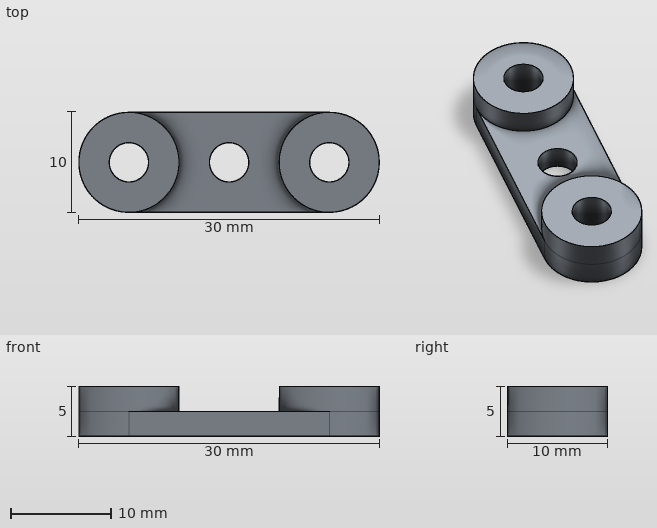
import cadquery as cq

length = 30.0
width = length / 3
height = width / 2
plate_thickness = height / 2
hole_diameter = 3.9

hole_spacing = (length - width) / 2
end_centers = [(-hole_spacing, 0), (hole_spacing, 0)]
hole_centers = end_centers + [(0, 0)]


def link_plate():
    """Flat plate with fully rounded ends, resting on Z = 0."""
    return cq.Workplane("XY").slot2D(length, width).extrude(plate_thickness)


def end_bosses():
    """Round bosses rising from the plate, flush with its rounded ends."""
    return (
        cq.Workplane("XY")
        .workplane(offset=plate_thickness)
        .pushPoints(end_centers)
        .circle(width / 2)
        .extrude(height - plate_thickness)
    )


def through_holes():
    """Cylinders that cut the holes through the full height."""
    return cq.Workplane("XY").pushPoints(hole_centers).circle(hole_diameter / 2).extrude(height)


result = link_plate().union(end_bosses()).cut(through_holes())